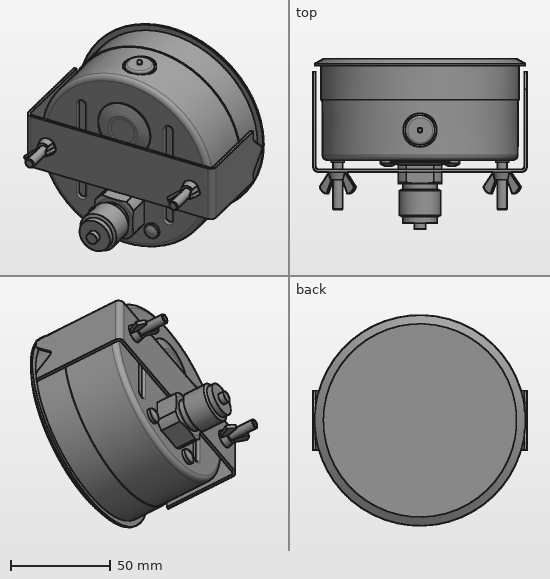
import cadquery as cq
import math


bezel_diameter = 106.28
bezel_face_diameter = 97.4
bezel_rim_thickness = 1.1
bezel_thickness = 3.6
sleeve_diameter = 100.0
case_diameter = 99.0
case_back_diameter = 98.7
case_back_fillet = 2.9
case_depth = 51.2
sleeve_back_y = 30.5

bracket_width = 108.0
strip_height = 30.0
strip_thickness = 1.5
bend_radius = 3.0
bracket_back = 6.0
leg_end_y = 44.7
vee_half_height = 9.9
vee_fillet = 2.5

stud_x = 41.4
stud_diameter = 5.0
stud_length = 24.8
stud_chamfer = 0.4
collar_diameter = 6.5
collar_height = 1.0
nut_base_diameter = 9.6
nut_top_diameter = 7.6
nut_height = 3.8
wing_thickness = 2.0
left_nut_angle = 32.0
right_nut_angle = 27.5

stem_z = -26.55
wrench_flat_width = 22.0
wrench_corner_diameter = 26.0
wrench_length = 11.7
wrench_chamfer_radial = 2.0
wrench_chamfer_axial = 0.6
stem_neck_diameter = 17.5
thread_diameter = 20.96
thread_start = 14.6
thread_end = 28.5
thread_chamfer_length = 0.8
spigot_end = 31.6
stem_tip_diameter = 6.0
stem_length = 34.7

disc_z = 20.0
disc_diameter = 30.0
disc_groove_diameter = 28.5
disc_gap = 0.4
disc_edge = 1.0
disc_height = 2.6
disc_crown_diameter = 17.0
disc_crown_bulge = 0.25
disc_center_diameter = 13.6
disc_center_depth = 0.2

slot_x = 25.0
slot_length = 57.4
slot_width = 4.2
slot_depth = 1.5
slot_lip_fillet = 1.0

screw_x = 16.0
screw_z = -35.6
screw_diameter = 8.0
screw_dome_diameter = 7.0
screw_side_height = 1.6
screw_shoulder_height = 2.1
screw_height = 3.1

plug_y = 15.2
plug_seat_diameter = 17.0
plug_seat_z = 48.2
plug_diameter = 15.0
plug_top_z = 50.2
plug_fillet = 1.2
nipple_neck_diameter = 2.0
nipple_diameter = 2.5
nipple_top_z = 52.3


def rod(diameter, y_from, y_to, x=0.0):
    """Cylinder parallel to Y running from y_from down to y_to."""
    return (
        cq.Workplane("XZ", origin=(x, y_from, 0))
        .circle(diameter / 2)
        .extrude(y_from - y_to)
    )


def turned(profile):
    """Body of revolution about the Y axis; profile is a list of (radius, y)."""
    return (
        cq.Workplane("XY")
        .polyline(profile)
        .close()
        .revolve(360, (0, 0), (0, 1))
    )


def make_case():
    bezel_back_y = case_depth - bezel_thickness
    case = turned([
        (0, 0),
        (case_back_diameter / 2, 0),
        (case_diameter / 2, sleeve_back_y),
        (sleeve_diameter / 2, sleeve_back_y),
        (sleeve_diameter / 2, bezel_back_y),
        (bezel_diameter / 2, bezel_back_y),
        (bezel_diameter / 2, bezel_back_y + bezel_rim_thickness),
        (bezel_face_diameter / 2, case_depth),
        (0, case_depth),
    ])
    return case.faces("<Y").edges().fillet(case_back_fillet)


def cut_back_slot(case, x):
    """Cut one vertical slot into the case back and round its lip."""
    cutter = (
        cq.Workplane("XZ", origin=(x, 0, 0))
        .slot2D(slot_length, slot_width, 90)
        .extrude(-slot_depth)
    )
    lip_zone = cq.selectors.BoxSelector(
        (x - slot_width, -slot_depth / 2, -slot_length),
        (x + slot_width, slot_depth / 2, slot_length),
    )
    return case.cut(cutter).faces("<Y").edges(lip_zone).fillet(slot_lip_fillet)


def make_vee(leg_x, tip_y, opening_y):
    """Triangular prism across one leg, with its point at tip_y and its base at opening_y."""
    return (
        cq.Workplane("YZ", origin=(leg_x, 0, 0))
        .polyline([
            (opening_y, -vee_half_height),
            (tip_y, 0),
            (opening_y, vee_half_height),
        ])
        .close()
        .extrude(strip_thickness)
    )


def make_bracket():
    half_width = bracket_width / 2
    strip_span = leg_end_y + bracket_back
    leg_middle_y = (leg_end_y - bracket_back) / 2
    outer = (
        cq.Workplane("XY", origin=(0, leg_middle_y, 0))
        .box(bracket_width, strip_span, strip_height)
        .edges("<Y and |Z")
        .fillet(bend_radius)
    )
    inner = (
        cq.Workplane("XY", origin=(0, leg_middle_y + strip_thickness, 0))
        .box(bracket_width - 2 * strip_thickness, strip_span, strip_height)
        .edges("<Y and |Z")
        .fillet(bend_radius - strip_thickness)
    )
    bracket = outer.cut(inner)

    tip_loss = vee_fillet * (math.sqrt(2) - 1)
    right_leg_x = half_width - strip_thickness
    shoulder_y = leg_end_y + tip_loss - vee_half_height
    notch = make_vee(-half_width, leg_end_y - vee_half_height, leg_end_y)
    right_leg_trim = (
        cq.Workplane("XY")
        .box(strip_thickness, vee_half_height, strip_height, centered=(False, False, True))
        .translate((right_leg_x, shoulder_y, 0))
    )
    point = make_vee(right_leg_x, shoulder_y + vee_half_height, shoulder_y)
    bracket = bracket.cut(notch).cut(right_leg_trim).union(point)

    vee_zone = cq.selectors.BoxSelector(
        (-bracket_width, leg_end_y - 2 * vee_half_height, -strip_height / 2 + strip_thickness),
        (bracket_width, leg_end_y + vee_half_height, strip_height / 2 - strip_thickness),
    )
    return bracket.edges("|X").edges(vee_zone).fillet(vee_fillet)


def make_stud(x):
    shank = rod(stud_diameter, 0, -stud_length, x).faces("<Y").chamfer(stud_chamfer)
    collar = rod(collar_diameter, 0, -collar_height, x)
    return shank.union(collar)


def make_wing():
    """One wing lying in the XY plane, leaning outward and away from the bracket."""
    root_inner = (2.9, -7.0)
    root_outer = (4.9, -6.3)
    shoulder = (10.2, -13.4)
    tip_middle = (8.8, -15.6)
    tip_inner = (6.2, -16.9)
    waist = (3.3, -9.9)
    return (
        cq.Workplane("XY", origin=(0, 0, -wing_thickness / 2))
        .moveTo(*root_inner)
        .lineTo(*root_outer)
        .lineTo(*shoulder)
        .threePointArc(tip_middle, tip_inner)
        .lineTo(*waist)
        .close()
        .extrude(wing_thickness)
    )


def make_wing_nut(x, angle):
    nut = turned([
        (0, -bracket_back),
        (nut_base_diameter / 2, -bracket_back),
        (nut_top_diameter / 2, -bracket_back - nut_height),
        (0, -bracket_back - nut_height),
    ])
    wing = make_wing()
    nut = nut.union(wing).union(wing.rotate((0, 0, 0), (0, 1, 0), 180))
    return nut.rotate((0, 0, 0), (0, 1, 0), -angle).translate((x, 0, 0))


def make_stem():
    corner_radius = wrench_corner_diameter / 2
    corner_envelope = turned([
        (0, 0),
        (corner_radius, 0),
        (corner_radius, -wrench_length + wrench_chamfer_axial),
        (corner_radius - wrench_chamfer_radial, -wrench_length),
        (0, -wrench_length),
    ])
    wrench_block = (
        cq.Workplane("XZ")
        .rect(wrench_flat_width, wrench_flat_width)
        .extrude(wrench_length)
        .intersect(corner_envelope)
    )
    thread = turned([
        (0, -thread_start),
        (stem_neck_diameter / 2, -thread_start),
        (thread_diameter / 2, -thread_start - thread_chamfer_length),
        (thread_diameter / 2, -thread_end + thread_chamfer_length),
        (stem_neck_diameter / 2, -thread_end),
        (0, -thread_end),
    ])
    stem = wrench_block.union(rod(stem_neck_diameter, -wrench_length, -spigot_end))
    stem = stem.union(thread).union(rod(stem_tip_diameter, -spigot_end, -stem_length))
    return stem.translate((0, 0, stem_z))


def make_disc():
    edge_radius = disc_diameter / 2
    crown_radius = disc_crown_diameter / 2
    center_radius = disc_center_diameter / 2
    bulge = ((edge_radius + crown_radius) / 2, -(disc_edge + disc_height) / 2 - disc_crown_bulge)
    return (
        cq.Workplane("XY")
        .moveTo(0, 0)
        .lineTo(disc_groove_diameter / 2, 0)
        .lineTo(disc_groove_diameter / 2, -disc_gap)
        .lineTo(edge_radius, -disc_gap)
        .lineTo(edge_radius, -disc_edge)
        .threePointArc(bulge, (crown_radius, -disc_height))
        .lineTo(center_radius, -disc_height + disc_center_depth)
        .lineTo(0, -disc_height + disc_center_depth)
        .close()
        .revolve(360, (0, 0), (0, 1))
        .translate((0, 0, disc_z))
    )


def make_screw(x):
    dome_radius = screw_dome_diameter / 2
    dome_rise = screw_height - screw_shoulder_height
    dome_sphere_radius = (dome_radius**2 + dome_rise**2) / (2 * dome_rise)
    half_way = dome_radius / 2
    half_way_drop = dome_sphere_radius - math.sqrt(dome_sphere_radius**2 - half_way**2)
    return (
        cq.Workplane("XY")
        .moveTo(0, 0)
        .lineTo(screw_diameter / 2, 0)
        .lineTo(screw_diameter / 2, -screw_side_height)
        .lineTo(dome_radius, -screw_shoulder_height)
        .threePointArc((half_way, -screw_height + half_way_drop), (0, -screw_height))
        .close()
        .revolve(360, (0, 0), (0, 1))
        .translate((x, 0, screw_z))
    )


def upright(diameter, z_from, z_to):
    """Vertical cylinder on the plug axis."""
    return (
        cq.Workplane("XY", origin=(0, plug_y, z_from))
        .circle(diameter / 2)
        .extrude(z_to - z_from)
    )


def make_plug():
    plug = upright(plug_diameter, plug_seat_z, plug_top_z).faces(">Z").edges().fillet(plug_fillet)
    ball_z = nipple_top_z - nipple_diameter / 2
    neck = upright(nipple_neck_diameter, plug_seat_z, ball_z)
    ball = cq.Workplane("XY", origin=(0, plug_y, ball_z)).sphere(nipple_diameter / 2)
    return plug.union(neck).union(ball)


result = make_case()
for side in (-1, 1):
    result = cut_back_slot(result, side * slot_x)
result = result.cut(upright(plug_seat_diameter, plug_seat_z, sleeve_diameter / 2))
result = result.union(make_plug()).union(make_stem()).union(make_disc())
for side in (-1, 1):
    result = result.union(make_screw(side * screw_x))
    result = result.union(make_stud(side * stud_x))
result = result.union(make_bracket())
result = result.union(make_wing_nut(-stud_x, left_nut_angle))
result = result.union(make_wing_nut(stud_x, right_nut_angle))